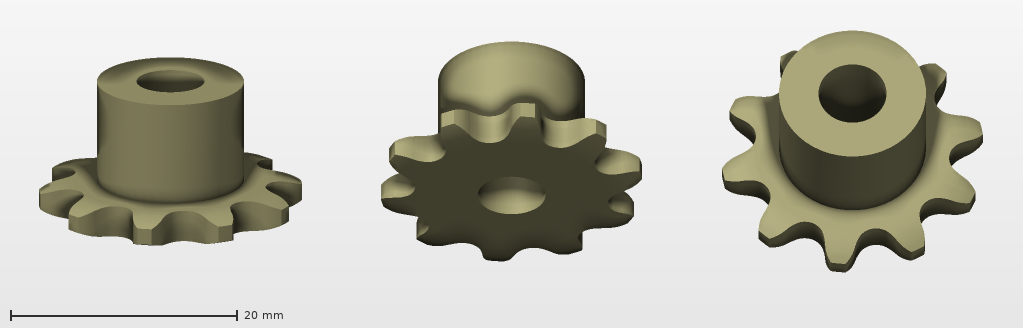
import cadquery as cq
import math

tooth_count = 10
chain_pitch = 6.35
roller_diameter = 3.3
seating_clearance = 0.05
tip_radius = 11.65
plate_thickness = 2.82
crowned_radius = 8.7
crown_arc_radius = 6.75
hub_diameter = 13.0
bore_diameter = 6.0
total_height = 12.0

pitch_angle = 360 / tooth_count
pitch_radius = chain_pitch / 2 / math.sin(math.radians(pitch_angle / 2))
seating_radius = roller_diameter / 2 + seating_clearance
seating_angle = 35 + 60 / tooth_count
working_angle = 18 - 56 / tooth_count
working_offset = 0.8 * roller_diameter
topping_offset = 1.4 * roller_diameter
working_radius = seating_radius + working_offset


def polar_step(start, distance, angle):
    """Point at a distance and direction (degrees) from a start point."""
    turn = math.radians(angle)
    return (start[0] + distance * math.cos(turn), start[1] + distance * math.sin(turn))


def direction(start, end):
    """Angle in degrees from a start point towards an end point."""
    return math.degrees(math.atan2(end[1] - start[1], end[0] - start[0]))


def flank_points():
    """Left side of the tooth gap centred on +Y, listed from the gap bottom to the tooth tip."""
    seat_center = (0, pitch_radius)
    working_center = polar_step(seat_center, working_offset, seating_angle)
    topping_center = polar_step(seat_center, topping_offset, 180 + pitch_angle / 2)
    flank_angle = seating_angle - working_angle

    gap_bottom = polar_step(seat_center, seating_radius, -90)
    seat_end = polar_step(seat_center, seating_radius, 180 + seating_angle)
    working_middle = polar_step(working_center, working_radius, 180 + flank_angle + working_angle / 2)
    working_end = polar_step(working_center, working_radius, 180 + flank_angle)

    offset_x = working_end[0] - topping_center[0]
    offset_y = working_end[1] - topping_center[1]
    normal = math.radians(flank_angle)
    topping_radius = offset_x * math.cos(normal) + offset_y * math.sin(normal)
    topping_start = polar_step(topping_center, topping_radius, flank_angle)

    center_reach = math.hypot(*topping_center)
    corner_cosine = (tip_radius**2 + center_reach**2 - topping_radius**2) / (2 * tip_radius * center_reach)
    corner_angle = direction((0, 0), topping_center) - math.degrees(math.acos(corner_cosine))
    tip_corner = polar_step((0, 0), tip_radius, corner_angle)
    tip_angle = direction(topping_center, tip_corner)
    topping_middle = polar_step(topping_center, topping_radius, (flank_angle + tip_angle) / 2)
    return (gap_bottom, seat_end, working_middle, working_end, topping_start, topping_middle, tip_corner)


def rotated(point, angle):
    """Point turned about the part axis by an angle in degrees."""
    return polar_step((0, 0), math.hypot(*point), direction((0, 0), point) + angle)


def mirrored(point):
    return (-point[0], point[1])


def toothed_blank():
    """Flat plate with the full tooth outline, one gap and one tip at a time, anticlockwise."""
    left = flank_points()
    right = [mirrored(point) for point in left]
    outline = cq.Workplane("XY").moveTo(*right[-1])
    for gap in range(tooth_count):
        turn = gap * pitch_angle
        bottom, seat_end, work_mid, work_end, top_start, top_mid, tip = [rotated(p, turn) for p in left]
        _, right_seat_end, right_work_mid, right_work_end, right_top_start, right_top_mid, _ = [
            rotated(p, turn) for p in right
        ]
        tip_middle = polar_step((0, 0), tip_radius, 90 + turn + pitch_angle / 2)
        next_tip = rotated(right[-1], turn + pitch_angle)

        outline = outline.threePointArc(right_top_mid, right_top_start)
        outline = outline.lineTo(*right_work_end)
        outline = outline.threePointArc(right_work_mid, right_seat_end)
        outline = outline.threePointArc(bottom, seat_end)
        outline = outline.threePointArc(work_mid, work_end)
        outline = outline.lineTo(*top_start)
        outline = outline.threePointArc(top_mid, tip)
        outline = outline.threePointArc(tip_middle, next_tip)
    return outline.close().extrude(plate_thickness)


def crowned_disc():
    """Disc whose two faces curve towards each other beyond the crowned radius."""

    def crown_drop(radius):
        return crown_arc_radius - math.sqrt(crown_arc_radius**2 - (radius - crowned_radius) ** 2)

    middle_radius = (crowned_radius + tip_radius) / 2
    profile = (
        cq.Workplane("XZ")
        .lineTo(crowned_radius, 0)
        .threePointArc((middle_radius, crown_drop(middle_radius)), (tip_radius, crown_drop(tip_radius)))
        .lineTo(tip_radius, plate_thickness - crown_drop(tip_radius))
        .threePointArc(
            (middle_radius, plate_thickness - crown_drop(middle_radius)),
            (crowned_radius, plate_thickness),
        )
        .lineTo(0, plate_thickness)
        .close()
    )
    return profile.revolve(360, (0, 0, 0), (0, 1, 0))


sprocket_plate = toothed_blank().intersect(crowned_disc())
hub = cq.Workplane("XY").circle(hub_diameter / 2).extrude(total_height)
bore = cq.Workplane("XY").circle(bore_diameter / 2).extrude(total_height)

result = sprocket_plate.union(hub).cut(bore)